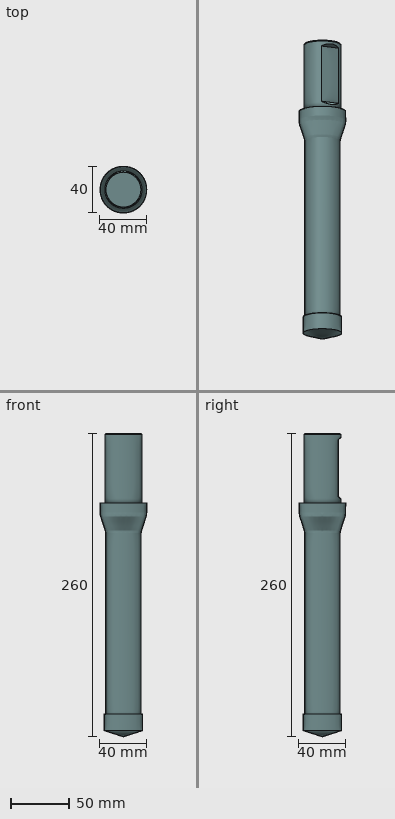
import cadquery as cq
import math

total_length = 260.0
head_top = 19.5
taper_bottom = 175.5
collar_top = 200.5

head_radius = 33.0 / 2
body_radius = 30.5 / 2
shank_radius = 32.0 / 2
collar_radius = 40.0 / 2

taper_angle = 18.0
taper_top = taper_bottom + (collar_radius - body_radius) / math.tan(math.radians(taper_angle))
collar_blend_radius = 12.0
body_blend_radius = 7.5

point_angle = 144.0
point_height = head_radius / math.tan(math.radians(point_angle / 2))

end_chamfer = 1.0

flat_depth = 2.3
flat_bottom = 203.5
flat_top = 257.0


def revolve_profile(points):
    """Revolve a closed (radius, height) outline about the Z axis."""
    return cq.Workplane("XZ").polyline(points).close().revolve(360, (0, 0, 0), (0, 1, 0))


def make_head():
    """Cylindrical cutting head with a conical point."""
    return revolve_profile([
        (0, 0),
        (head_radius, point_height),
        (head_radius, head_top),
        (0, head_top),
    ])


def make_flat_cutter():
    """Trapezoidal prism that cuts the clamping flat."""
    flat_y = shank_radius - flat_depth
    return (
        cq.Workplane("YZ")
        .polyline([
            (shank_radius, flat_bottom),
            (flat_y, flat_bottom + flat_depth),
            (flat_y, flat_top - flat_depth),
            (shank_radius, flat_top),
        ])
        .close()
        .extrude(shank_radius, both=True)
    )


def blend_edge(solid, height, radius):
    """Round the circular edge that lies at the given height."""
    selection_margin = 0.13
    slab = cq.selectors.BoxSelector(
        (-collar_radius, -collar_radius, height - selection_margin),
        (collar_radius, collar_radius, height + selection_margin),
    )
    return solid.edges("%CIRCLE").edges(slab).fillet(radius)


def make_holder():
    """Long body, tapered collar and clamping shank in one piece."""
    holder = revolve_profile([
        (0, head_top),
        (body_radius, head_top),
        (body_radius, taper_bottom),
        (collar_radius, taper_top),
        (collar_radius, collar_top),
        (shank_radius, collar_top),
        (shank_radius, total_length - end_chamfer),
        (shank_radius - end_chamfer, total_length),
        (0, total_length),
    ])
    holder = blend_edge(holder, taper_top, collar_blend_radius)
    holder = blend_edge(holder, taper_bottom, body_blend_radius)
    return holder.cut(make_flat_cutter())


head = make_head()
holder = make_holder()

result = cq.Compound.makeCompound([head.val(), *holder.vals()])